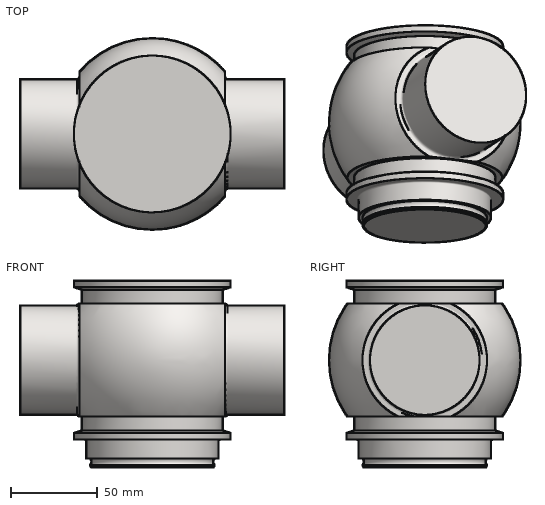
import cadquery as cq
import math

ball_radius = 55.55
body_half_height = 32.8
side_flat_radius = 72.21 / 2
side_flat_x = math.sqrt(ball_radius**2 - side_flat_radius**2)

overall_length = 153.16
pipe_radius = 63.5 / 2
pipe_root_fillet = 1.5

neck_radius = 81.89 / 2
flange_radius = 90.91 / 2
flange_face_z = 46.05
flange_rim = 3.8
flange_taper = 1.5

overall_height = 108.15
bottom_z = flange_face_z - overall_height
spigot_radius = 76.86 / 2
spigot_length = 11.0
spigot_root_fillet = 0.8
spigot_end_z = -flange_face_z - spigot_length
lip_radius = 72.21 / 2
lip_land = 0.5
lip_chamfer_height = 0.9
groove_radius = 70.74 / 2
groove_floor = 0.4


def concave_arc_middle(flared_end, tangent_end):
    """Middle point of a hollow arc that runs parallel to its turning axis at tangent_end.

    Points are (distance from the axis, position along the axis).
    """
    rise = flared_end[0] - tangent_end[0]
    run = flared_end[1] - tangent_end[1]
    arc_radius = (rise**2 + run**2) / (2 * rise)
    half_angle = math.atan2(abs(run), arc_radius - rise) / 2
    return (
        tangent_end[0] + arc_radius * (1 - math.cos(half_angle)),
        tangent_end[1] + math.copysign(arc_radius * math.sin(half_angle), run),
    )


def make_body():
    """Sphere with its poles on Y, cut flat at both ends of X and Z."""
    sphere = cq.Workplane("XZ").sphere(ball_radius)
    envelope = cq.Workplane("XY").box(2 * side_flat_x, 2 * ball_radius, 2 * body_half_height)
    return sphere.intersect(envelope)


def make_pipes():
    """Straight pipe through the body, flared at the side flats and trimmed to the body height."""
    flare_start = (pipe_radius + pipe_root_fillet, side_flat_x)
    flare_end = (pipe_radius, side_flat_x + pipe_root_fillet)
    flare_middle = concave_arc_middle(flare_start, flare_end)
    stub = (
        cq.Workplane("XY")
        .lineTo(0, flare_start[0])
        .lineTo(side_flat_x, flare_start[0])
        .threePointArc(flare_middle[::-1], flare_end[::-1])
        .lineTo(overall_length / 2, pipe_radius)
        .lineTo(overall_length / 2, 0)
        .close()
        .revolve(360, (0, 0, 0), (1, 0, 0))
    )
    clip = cq.Workplane("XY").box(overall_length, 2 * ball_radius, 2 * body_half_height)
    return stub.union(stub.mirror("YZ")).intersect(clip)


def make_column():
    """Necks, tapered flanges, spigot and grooved lip turned about Z."""
    rim_z = flange_face_z - flange_rim
    taper_z = rim_z - flange_taper
    root_start = (spigot_radius + spigot_root_fillet, -flange_face_z)
    root_end = (spigot_radius, -flange_face_z - spigot_root_fillet)
    lip_bottom_z = bottom_z + lip_chamfer_height
    lip_top_z = lip_bottom_z + lip_land
    groove_middle_z = (spigot_end_z + lip_top_z) / 2
    groove_start = (lip_radius, spigot_end_z)
    floor_start = (groove_radius, groove_middle_z + groove_floor / 2)
    floor_end = (groove_radius, groove_middle_z - groove_floor / 2)
    groove_end = (lip_radius, lip_top_z)
    profile = (
        cq.Workplane("XZ")
        .moveTo(0, flange_face_z)
        .lineTo(flange_radius, flange_face_z)
        .lineTo(flange_radius, rim_z)
        .lineTo(neck_radius, taper_z)
        .lineTo(neck_radius, -taper_z)
        .lineTo(flange_radius, -rim_z)
        .lineTo(flange_radius, -flange_face_z)
        .lineTo(*root_start)
        .threePointArc(concave_arc_middle(root_start, root_end), root_end)
        .lineTo(spigot_radius, spigot_end_z)
        .lineTo(*groove_start)
        .threePointArc(concave_arc_middle(groove_start, floor_start), floor_start)
        .lineTo(*floor_end)
        .threePointArc(concave_arc_middle(groove_end, floor_end), groove_end)
        .lineTo(lip_radius, lip_bottom_z)
        .lineTo(groove_radius, bottom_z)
        .lineTo(0, bottom_z)
        .close()
    )
    return profile.revolve(360, (0, 0, 0), (0, 1, 0))


result = make_body().union(make_column()).union(make_pipes())